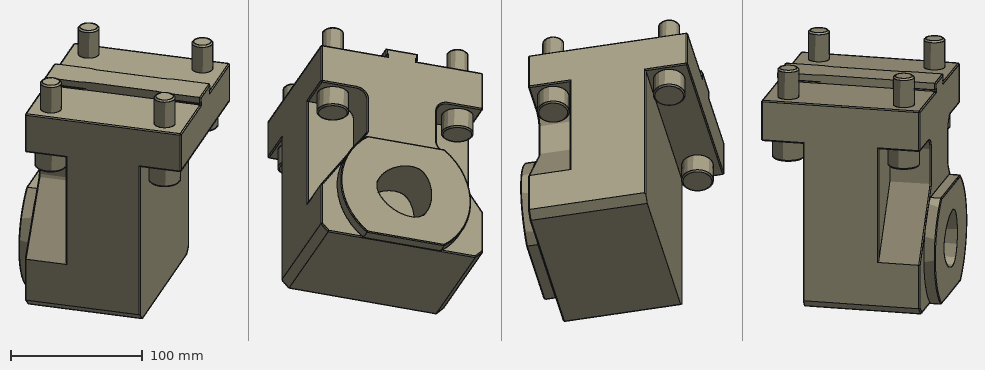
import cadquery as cq
import math

collar_thickness = 8.9
plate_end = 132.5
column_end = 100.0
body_width = 130.0
plate_top = 162.5
plate_bottom = 130.5
bottom_chamfer = 6.0
edge_chamfer = 1.0

pocket_end = 41.1
pocket_bottom = 40.4
neck_half_width = 27.8
neck_bottom = 93.5
neck_top_fillet = 9.0
neck_bottom_fillet = 7.0

collar_diameter = 104.5
collar_height = 84.1
collar_chamfer = 0.7

socket_mean_radius = 22.0
socket_eccentricity = 1.39
socket_depth = 38.0
socket_taper = 1 / 20
socket_curve_points = 48

key_top = 169.1
key_width = 25.0
key_relief_top = 163.8
key_relief_depth = 0.7
key_waist_depth = 1.1
key_waist_length = 50.5
key_waist_radius = 20.4

screw_edge_distance = 16.1
screw_spacing_x = 90.0
screw_spacing_y = 100.0
screw_diameter = 16.0
screw_top = 185.2
screw_tip_chamfer = 1.3
screw_head_diameter = 24.0
screw_head_height = 16.1
screw_head_chamfer = 1.1

half_width = body_width / 2
socket_axis_z = collar_height / 2
screw_center_x = collar_thickness + screw_edge_distance + screw_spacing_x / 2


def block(x_start, x_end, width, z_start, z_end):
    """Box between two X and two Z planes, centred on Y = 0."""
    length = x_end - x_start
    height = z_end - z_start
    return (
        cq.Workplane("XY", origin=(x_start, 0, z_start))
        .box(length, width, height, centered=(False, True, False))
    )


def make_pocket():
    """Pocket on the +Y side with a filleted neck wall and a slanted floor."""
    outline = [
        (half_width, pocket_bottom),
        (half_width, plate_bottom),
        (neck_half_width, plate_bottom),
        (neck_half_width, neck_bottom),
    ]
    pocket = (
        cq.Workplane("YZ", origin=(collar_thickness, 0, 0))
        .polyline(outline).close()
        .extrude(pocket_end - collar_thickness)
    )
    top_corner = (pocket_end, neck_half_width, plate_bottom)
    bottom_corner = (pocket_end, neck_half_width, neck_bottom)
    top_edge = pocket.edges("|X").edges(cq.NearestToPointSelector(top_corner))
    pocket = top_edge.fillet(neck_top_fillet)
    bottom_edge = pocket.edges("|X").edges(cq.NearestToPointSelector(bottom_corner))
    return bottom_edge.fillet(neck_bottom_fillet)


def make_key():
    """Key with undercut ends and a narrower middle that runs out in arcs."""
    key = block(collar_thickness, plate_end, key_width, plate_bottom, key_top)
    waist_half = key_waist_length / 2
    key_half = key_width / 2
    floor = key_half - key_waist_depth
    run_out = math.sqrt(key_waist_radius**2 - (key_waist_radius - key_waist_depth) ** 2)
    half_angle = math.asin(run_out / key_waist_radius) / 2
    arc_x = waist_half + key_waist_radius * math.sin(half_angle)
    arc_y = floor + key_waist_radius * (1 - math.cos(half_angle))
    waist = (
        cq.Workplane("XY", origin=(screw_center_x, 0, plate_top))
        .moveTo(-waist_half, floor)
        .lineTo(waist_half, floor)
        .threePointArc((arc_x, arc_y), (waist_half + run_out, key_half))
        .lineTo(-waist_half - run_out, key_half)
        .threePointArc((-arc_x, arc_y), (-waist_half, floor))
        .close()
        .extrude(key_top - plate_top)
    )
    undercut = block(collar_thickness, plate_end, key_relief_depth, plate_top, key_relief_top)
    undercut = undercut.translate((0, key_half - key_relief_depth / 2, 0))
    side_cut = waist.union(undercut)
    return key.cut(side_cut).cut(side_cut.mirror("XZ"))


def make_body():
    """Plate on a pocketed column, with its outer edges broken.

    The long edges of the bottom chamfers and of the slanted pocket floors stay sharp.
    """
    column = block(collar_thickness, column_end, body_width, 0, plate_bottom)
    column = column.edges("|X and <Z").chamfer(bottom_chamfer)
    plate = block(collar_thickness, plate_end, body_width, plate_bottom, plate_top)
    pocket = make_pocket()
    body = column.union(plate).cut(pocket).cut(pocket.mirror("XZ"))
    body = body.union(make_key())
    low_zone = cq.selectors.BoxSelector(
        (0, -body_width, 0), (plate_end, body_width, pocket_bottom + edge_chamfer)
    )
    sharp_edges = low_zone & cq.selectors.ParallelDirSelector(cq.Vector(1, 0, 0))
    broken_edges = body.faces("<Y or >Y or <X or >X").edges(cq.selectors.InverseSelector(sharp_edges))
    return broken_edges.chamfer(edge_chamfer)


def make_collar():
    """Disc with flat top and bottom and a broken front edge."""
    flats = block(0, collar_thickness, collar_diameter, 0, collar_height)
    disc = (
        cq.Workplane("YZ", origin=(0, 0, socket_axis_z))
        .circle(collar_diameter / 2).extrude(collar_thickness)
    )
    return disc.intersect(flats).faces("<X").chamfer(collar_chamfer)


def lobed_point(angle, mean_radius):
    """Point on a constant-width curve with three lobes, one of them toward +Y."""
    offset = socket_eccentricity * math.cos(3 * angle)
    slope = -3 * socket_eccentricity * math.sin(3 * angle)
    y = (mean_radius + offset) * math.cos(angle) - slope * math.sin(angle)
    z = (mean_radius + offset) * math.sin(angle) + slope * math.cos(angle)
    return y, z


def make_socket():
    """Blind socket that narrows from its mouth to its floor."""
    bottom_radius = socket_mean_radius - socket_depth * socket_taper / 2
    step = 2 * math.pi / socket_curve_points
    mouth = [lobed_point(i * step, socket_mean_radius) for i in range(socket_curve_points)]
    bottom = [lobed_point(i * step, bottom_radius) for i in range(socket_curve_points)]
    return (
        cq.Workplane("YZ", origin=(0, 0, socket_axis_z))
        .spline(mouth, periodic=True).close()
        .workplane(offset=socket_depth)
        .spline(bottom, periodic=True).close()
        .loft(ruled=True)
    )


def make_screws():
    """Four screws whose heads sit against the underside of the plate."""
    head_bottom = plate_bottom - screw_head_height
    base = cq.Workplane("XY", origin=(screw_center_x, 0, head_bottom)).rarray(
        screw_spacing_x, screw_spacing_y, 2, 2
    )
    shanks = base.circle(screw_diameter / 2).extrude(screw_top - head_bottom)
    shanks = shanks.faces(">Z").chamfer(screw_tip_chamfer)
    heads = base.circle(screw_head_diameter / 2).extrude(screw_head_height)
    heads = heads.faces("<Z").chamfer(screw_head_chamfer)
    return shanks.union(heads)


result = make_body().union(make_collar()).union(make_screws()).cut(make_socket())